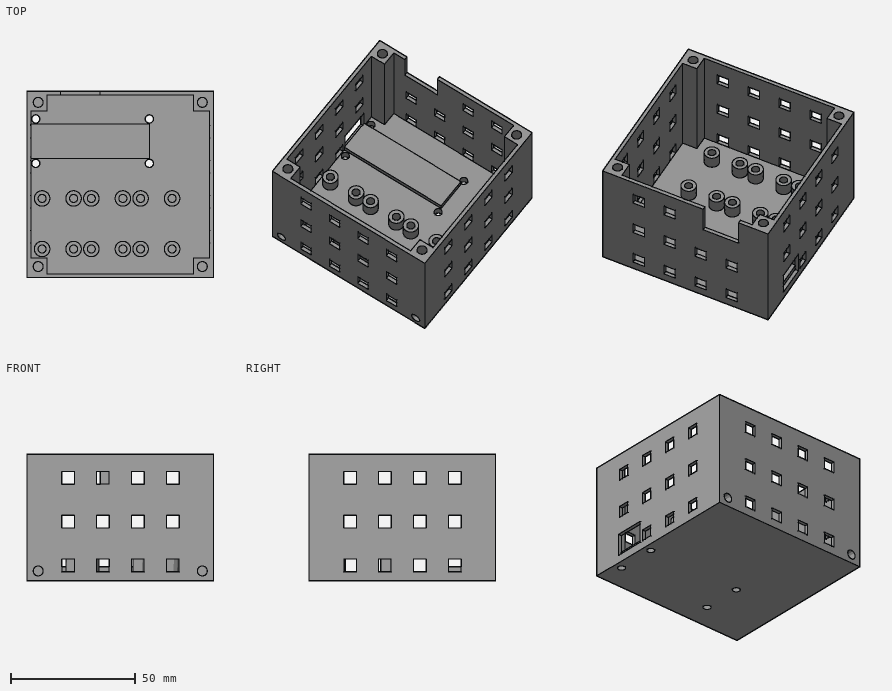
import cadquery as cq

side = 75.0
height = 51.0
wall = 1.6
floor = 3.6

post = 8.0
screw_inset = 4.5
screw_diameter = 4.0
top_screw_depth = 10.0
front_screw_height = 4.0
front_screw_depth = 6.0

window = 5.0
window_pitch = 14.0
first_row_bottom = 3.75
row_pitch = 17.55
columns = 4
rows = 3

pad_end = 49.2
pad_front = 48.0
pad_back = 61.9
pad_top = 5.7
opening_front = 48.5
opening_back = 61.65
opening_top = 13.5

pad_hole_diameter = 3.2
pad_hole_x = (3.5, 49.2)
pad_hole_y = (46.0, 63.8)

standoff_diameter = 6.2
standoff_bore = 3.2
standoff_height = 5.3
first_standoff_x = 6.1
standoff_spacing = 12.7
standoff_pair_pitch = 19.8
standoff_pairs = 3
standoff_y = (11.55, 31.9)

notch_left = 13.4
notch_right = 29.4

standoff_top = floor + standoff_height

notch_bottom = first_row_bottom + (rows - 1) * row_pitch


def block(x0, x1, y0, y1, z0, z1):
    """Box between two corners."""
    return cq.Workplane("XY").box(x1 - x0, y1 - y0, z1 - z0, centered=False).translate((x0, y0, z0))


def cylinders_at(points, diameter, bottom, top):
    """Upright cylinders at the given points."""
    return (
        cq.Workplane("XY", origin=(0, 0, bottom))
        .pushPoints(points)
        .circle(diameter / 2)
        .extrude(top - bottom)
    )


def shell_with_posts():
    """Box open at the top, with a square post in each corner."""
    shell = block(0, side, 0, side, 0, height)
    shell = shell.cut(block(wall, side - wall, wall, side - wall, floor, height))
    for x in (0, side - post):
        for y in (0, side - post):
            shell = shell.union(block(x, x + post, y, y + post, 0, height))
    return shell


def is_window_omitted(row, start):
    """The notch side crosses one top-row window of the +Y wall, so that window is left out."""
    return row == rows - 1 and start < notch_right < start + window


def wall_windows():
    """Cutters for the windows of all four walls."""
    cutters = cq.Workplane("XY")
    far_wall = side - wall
    for row in range(rows):
        z = first_row_bottom + row * row_pitch
        for column in range(columns):
            start = (column + 1) * window_pitch
            end = start + window
            for wall_start in (0, far_wall):
                cutters = cutters.add(block(wall_start, wall_start + wall, start, end, z, z + window))
            cutters = cutters.add(block(start, end, 0, wall, z, z + window))
            if not is_window_omitted(row, start):
                cutters = cutters.add(block(start, end, far_wall, side, z, z + window))
    return cutters.combine()


standoff_points = [
    (first_standoff_x + pair * standoff_pair_pitch + offset, y)
    for pair in range(standoff_pairs)
    for offset in (0, standoff_spacing)
    for y in standoff_y
]
pad_hole_points = [(x, y) for x in pad_hole_x for y in pad_hole_y]
screw_places = (screw_inset, side - screw_inset)
top_screw_points = [(x, y) for x in screw_places for y in screw_places]

front_screws = (
    cq.Workplane("XZ")
    .pushPoints([(x, front_screw_height) for x in screw_places])
    .circle(screw_diameter / 2)
    .extrude(-front_screw_depth)
)

body = shell_with_posts().cut(wall_windows())
body = body.cut(block(notch_left, notch_right, side - wall, side, notch_bottom, height))
body = body.cut(block(0, wall, opening_front, opening_back, floor, opening_top))
body = body.union(block(wall, pad_end, pad_front, pad_back, 0, pad_top))
body = body.union(cylinders_at(standoff_points, standoff_diameter, 0, standoff_top))
body = body.cut(cylinders_at(standoff_points, standoff_bore, floor, standoff_top))
body = body.cut(cylinders_at(pad_hole_points, pad_hole_diameter, 0, pad_top))
body = body.cut(cylinders_at(top_screw_points, screw_diameter, height - top_screw_depth, height))
result = body.cut(front_screws)